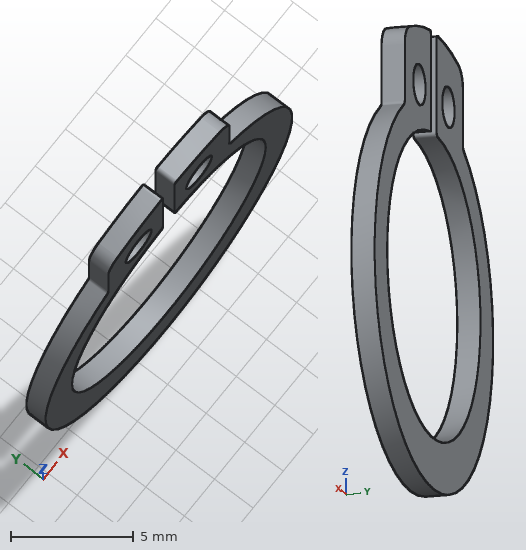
import cadquery as cq
import math

thickness = 1.0
outer_diameter = 16.36
outer_radius = outer_diameter / 2
bore_radius = 6.42
bore_rise = 0.38
overall_height = 19.23

gap = 0.75
lug_half_width = 4.02
lug_corner_radius = 0.92
gap_corner_radius = 0.17
lug_root_radius = 0.2
hole_diameter = 1.7
hole_spacing = 4.0
hole_height = 8.4

lug_top = overall_height - outer_radius
lug_top_radius = math.hypot(gap / 2 + gap_corner_radius, lug_top - bore_rise)


def plate_cylinder(radius, x=0, z=0):
    """Cylinder through the plate thickness, centred on Y = 0."""
    return (
        cq.Workplane("XZ")
        .center(x, z)
        .circle(radius)
        .extrude(thickness / 2, both=True)
    )


def lug_blank():
    """Block spanning both lugs, with its top rounded to the lug arc."""
    block = cq.Workplane("XY").box(
        2 * lug_half_width, thickness, overall_height, centered=(True, True, False)
    )
    block = block.intersect(plate_cylinder(lug_top_radius, z=bore_rise))
    return block.edges("|Y and (>X or <X)").edges(">Z").fillet(lug_corner_radius)


def gap_slot():
    """Vertical cut that opens the ring at the top."""
    return cq.Workplane("XY").box(
        gap, thickness, overall_height, centered=(True, True, False)
    )


result = plate_cylinder(outer_radius).union(lug_blank())

root_height = math.sqrt(outer_radius**2 - lug_half_width**2)
for side in (-1, 1):
    root = cq.selectors.NearestToPointSelector((side * lug_half_width, 0, root_height))
    result = result.edges("|Y").edges(root).fillet(lug_root_radius)

result = result.cut(plate_cylinder(bore_radius, z=bore_rise)).cut(gap_slot())

gap_corners = cq.selectors.BoxSelector(
    (-gap, -thickness, 0), (gap, thickness, overall_height)
)
result = result.edges("|Y").edges(gap_corners).fillet(gap_corner_radius)

for side in (-1, 1):
    result = result.cut(
        plate_cylinder(hole_diameter / 2, side * hole_spacing / 2, hole_height)
    )